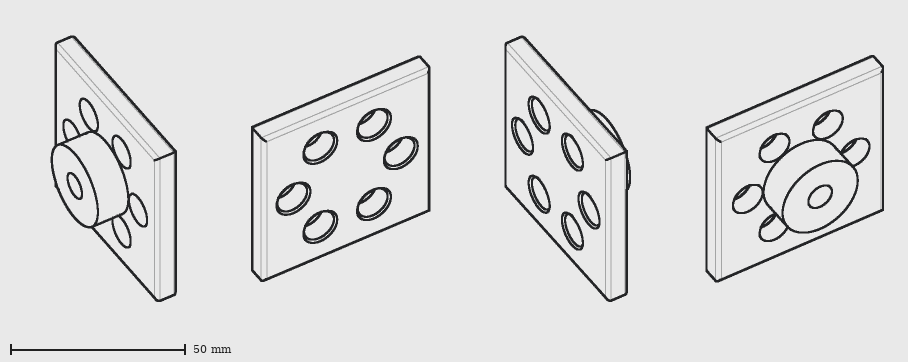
import cadquery as cq

plate_side = 56.3
total_depth = 17.15
plate_thickness = 7.0
edge_radius = 1.2

boss_diameter = 25.4
boss_height = total_depth - plate_thickness
bore_diameter = 7.95
bore_depth = boss_height

ring_hole_count = 6
ring_hole_diameter = 10.0
ring_radius = 18.0
ring_hole_chamfer = 0.7


def make_plate():
    """Square plate from Y = 0 (front) to Y = plate_thickness, rounded around both faces."""
    plate = cq.Workplane("XY").box(
        plate_side, plate_thickness, plate_side, centered=(True, False, True)
    )
    return plate.faces("<Y or >Y").edges().fillet(edge_radius)


def make_boss():
    """Cylinder reaching forward from the plate's front face."""
    return cq.Workplane("XZ").circle(boss_diameter / 2).extrude(boss_height)


def make_bore():
    """Blind hole sunk from the front end of the boss."""
    return (
        cq.Workplane("XZ", origin=(0, -boss_height, 0))
        .circle(bore_diameter / 2)
        .extrude(-bore_depth)
    )


def make_ring_holes():
    """Evenly spaced holes through the plate, the first one on the +X axis."""
    return (
        cq.Workplane("XZ")
        .polarArray(ring_radius, 0, 360, ring_hole_count)
        .circle(ring_hole_diameter / 2)
        .extrude(-plate_thickness)
    )


body = make_plate().union(make_boss()).cut(make_bore()).cut(make_ring_holes())
result = body.faces(">Y").edges("%CIRCLE").chamfer(ring_hole_chamfer)